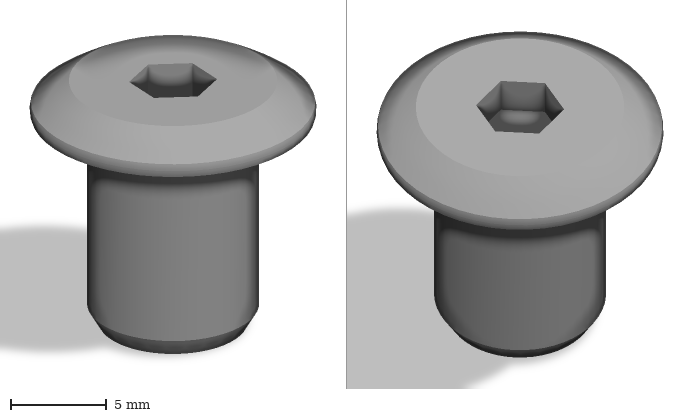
import cadquery as cq
import math

total_height = 14.0
head_height = 2.0
head_radius = 7.5
shank_radius = 4.5

flat_top_radius = 5.45
rim_height = 0.74
rim_arc_radius = 1.0
shoulder_bulge = 0.05

neck_fillet_radius = 0.5
taper_inset = 0.6
taper_angle = 30.0

socket_across_flats = 4.0
socket_depth = 2.0

head_bottom = total_height - head_height
rim_top = head_bottom + rim_height
rim_half_height = rim_height / 2
rim_bulge = rim_arc_radius - math.sqrt(rim_arc_radius**2 - rim_half_height**2)
rim_edge_radius = head_radius - rim_bulge
taper_height = taper_inset / math.tan(math.radians(taper_angle))


def arc_crest(start, end, bulge):
    """Middle point of an arc that rises by bulge to the left of the chord from start to end."""
    run = end[0] - start[0]
    rise = end[1] - start[1]
    length = math.hypot(run, rise)
    middle_x = (start[0] + end[0]) / 2
    middle_z = (start[1] + end[1]) / 2
    return (middle_x - bulge * rise / length, middle_z + bulge * run / length)


def make_body():
    """Head and shank, revolved about Z from one half profile."""
    top_edge = (flat_top_radius, total_height)
    rim_upper_edge = (rim_edge_radius, rim_top)
    rim_crest = (head_radius, head_bottom + rim_half_height)
    rim_lower_edge = (rim_edge_radius, head_bottom)
    half_rim_angle = math.asin(rim_half_height / rim_arc_radius)
    half_rim_bulge = rim_arc_radius * (1 - math.cos(half_rim_angle / 2))
    neck_outer = (shank_radius + neck_fillet_radius, head_bottom)
    neck_inner = (shank_radius, head_bottom - neck_fillet_radius)
    diagonal = neck_fillet_radius * math.sqrt(0.5)
    neck_middle = (neck_outer[0] - diagonal, neck_inner[1] + diagonal)

    profile = (
        cq.Workplane("XZ")
        .moveTo(0, 0)
        .lineTo(0, total_height)
        .lineTo(*top_edge)
        .threePointArc(arc_crest(top_edge, rim_upper_edge, shoulder_bulge), rim_upper_edge)
        .threePointArc(arc_crest(rim_upper_edge, rim_crest, half_rim_bulge), rim_crest)
        .threePointArc(arc_crest(rim_crest, rim_lower_edge, half_rim_bulge), rim_lower_edge)
        .lineTo(*neck_outer)
        .threePointArc(neck_middle, neck_inner)
        .lineTo(shank_radius, taper_height)
        .lineTo(shank_radius - taper_inset, 0)
        .close()
    )
    return profile.revolve(360, (0, 0, 0), (0, 1, 0))


def make_socket():
    """Hexagonal prism sunk from the top face, with two corners on the Y axis."""
    across_corners = socket_across_flats / math.cos(math.pi / 6)
    return (
        cq.Workplane("XY", origin=(0, 0, total_height))
        .transformed(rotate=(0, 0, 90))
        .polygon(6, across_corners)
        .extrude(-socket_depth)
    )


result = make_body().cut(make_socket())